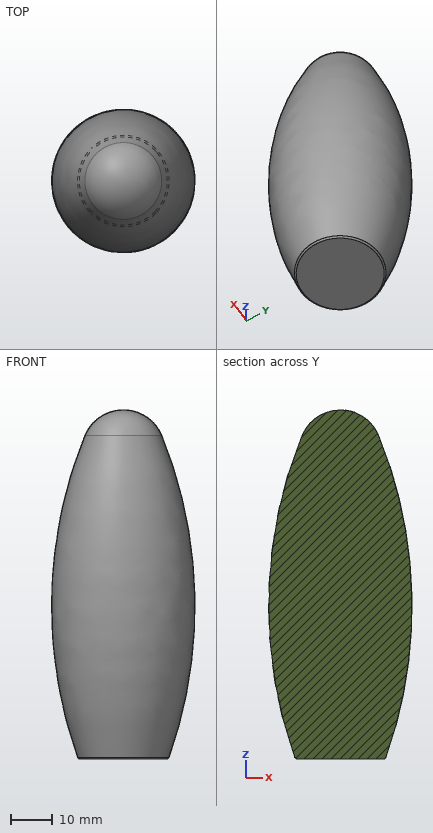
import cadquery as cq

total_height = 85.0
max_diameter = 34.9
belly_height = 37.15
base_radius = 11.1
base_chamfer = 0.4
seam_height = 78.8
seam_radius = 9.35

max_radius = max_diameter / 2

cap_height = total_height - seam_height
cap_radius = (seam_radius**2 + cap_height**2) / (2 * cap_height)
cap_centre = total_height - cap_radius
cap_middle = seam_height + cap_height / 2
cap_middle_radius = (cap_radius**2 - (cap_middle - cap_centre) ** 2) ** 0.5

profile = (
    cq.Workplane("XZ")
    .lineTo(base_radius - base_chamfer, 0)
    .lineTo(base_radius, base_chamfer)
    .threePointArc((max_radius, belly_height), (seam_radius, seam_height))
    .threePointArc((cap_middle_radius, cap_middle), (0, total_height))
    .close()
)

result = profile.revolve(360, (0, 0, 0), (0, 1, 0))